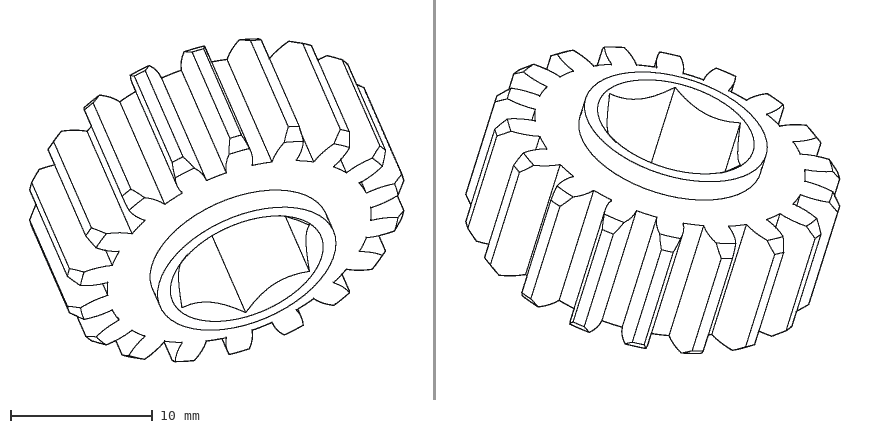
import cadquery as cq
import math

tooth_count = 18
tip_radius = 12.7
root_radius = 9.85
gear_width = 9.52
overall_width = 12.7
hub_diameter = 13.34
hex_across_flats = 9.52
bore_mouth_radius = 5.72
bore_cone_angle = 45.0
tip_chamfer = 0.75

tip_half_thickness = 0.43
middle_height = 11.18
middle_half_thickness = 0.95
root_half_thickness = 0.97

hub_radius = hub_diameter / 2
hex_flat_distance = hex_across_flats / 2
hex_corner_diameter = hex_across_flats / math.cos(math.pi / 6)
bore_cone_depth = (bore_mouth_radius - hex_flat_distance) / math.tan(math.radians(bore_cone_angle))


def disc(radius, width):
    """Disc on the X axis, centred on the origin."""
    return cq.Workplane("YZ").circle(radius).extrude(width / 2, both=True)


def radial_height(radius, half_thickness):
    """Height above the axis of a point on a circle, at a sideways distance from the tooth middle."""
    return math.sqrt(radius**2 - half_thickness**2)


def tooth():
    """One tooth pointing along +Z, with curved flanks and its foot sunk into the gear body."""
    foot = hub_radius
    tip = radial_height(tip_radius, tip_half_thickness)
    root = radial_height(root_radius, root_half_thickness)
    return (
        cq.Workplane("YZ")
        .moveTo(-root_half_thickness, foot)
        .lineTo(-root_half_thickness, root)
        .threePointArc((-middle_half_thickness, middle_height), (-tip_half_thickness, tip))
        .threePointArc((0, tip_radius), (tip_half_thickness, tip))
        .threePointArc((middle_half_thickness, middle_height), (root_half_thickness, root))
        .lineTo(root_half_thickness, foot)
        .close()
        .extrude(gear_width / 2, both=True)
    )


def toothed_ring():
    """Gear body with all its teeth, the tooth tips bevelled at both end faces."""
    gear = disc(root_radius, gear_width)
    for index in range(tooth_count):
        gear = gear.union(tooth().rotate((0, 0, 0), (1, 0, 0), index * 360 / tooth_count))
    bevelled_envelope = disc(tip_radius, gear_width).edges().chamfer(tip_chamfer)
    return gear.intersect(bevelled_envelope)


def hex_bore():
    """Hexagonal through bore with corners toward +Z and -Z."""
    return (
        cq.Workplane("YZ")
        .polygon(6, hex_corner_diameter)
        .extrude(overall_width / 2, both=True)
        .rotate((0, 0, 0), (1, 0, 0), 90)
    )


def bore_countersink(side):
    """Conical mouth of the bore at one end, narrowing to the flats of the hexagon."""
    cone = cq.Solid.makeCone(
        bore_mouth_radius,
        hex_flat_distance,
        bore_cone_depth,
        pnt=cq.Vector(side * overall_width / 2, 0, 0),
        dir=cq.Vector(-side, 0, 0),
    )
    return cq.Workplane(cone)


result = toothed_ring().union(disc(hub_radius, overall_width)).cut(hex_bore())
for end in (-1, 1):
    result = result.cut(bore_countersink(end))